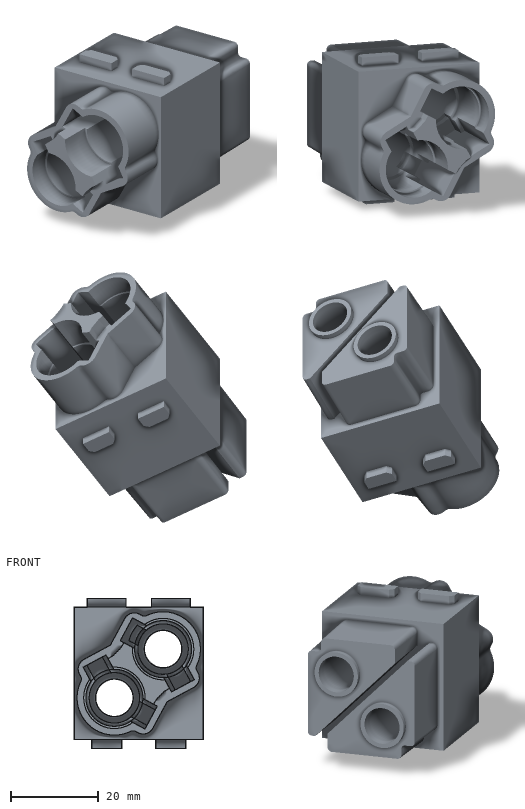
import cadquery as cq
import math


block_width = 29.4
block_height = 30.2
block_length = 23.7

tab_spacing = 14.6
tab_height = 2.0
tab_length = 3.5
tab_chamfer = 1.0
tab_setback = 5.6
top_tab_width = 8.9
bottom_tab_width = 6.9

shroud_length = 12.0
shroud_wall = 1.5
bump_round = 2.5
bump_blend = 1.25

bore_offset = 5.55
mouth_radius = 7.0
mouth_depth = 5.0
seat_radius = 13.0 / 2
inner_radius = 11.5 / 2
through_radius = 8.5 / 2

slot_tilt = 28.3
slot_width = 5.9
slot_reach = 9.5
keyway_width = 4.0
short_keyway_reach = 8.0

slot_depth = 16.0
seat_depth = 18.0
keyway_depth = 20.0
keyway_step_depth = 22.0

insert_projection = 3.0
waist_tip = (-3.4, 6.97)
waist_corner = (-4.05, 5.87)

rear_length = 14.5
rear_draft = 1.0
rear_side = 13.2
rear_top = 13.7
rear_shoulder = 10.35
rear_step = 9.95
rear_inner_side = 8.4
rear_round = 2.5 / 2
rear_step_round = 0.7
gap_width = 1.5

sleeve_radius = 10.5 / 2
sleeve_projection = 1.4

shroud_front = -shroud_length
rear_end = block_length + rear_length
sleeve_end = rear_end + sleeve_projection
mouth_floor = shroud_front + mouth_depth


def plane_at(y):
    """Work plane whose local axes are X and Z; positive extrusion runs towards -Y."""
    return cq.Workplane("XZ", origin=(0, y, 0))


def half_turn(body):
    return body.rotate((0, 0, 0), (0, 1, 0), 180)


def with_half_turn(points):
    return points + [(-x, -z) for x, z in points]


def cylinder(radius, y_start, y_end):
    """Cylinder on the axis of the upper bore."""
    return plane_at(y_start).center(bore_offset, bore_offset).circle(radius).extrude(y_start - y_end)


def both_cylinders(radius, y_start, y_end):
    one = cylinder(radius, y_start, y_end)
    return one.union(half_turn(one))


def swapped(point):
    """Mirror image across the x = -z diagonal."""
    return (-point[1], -point[0])


def slot_point(outward, sideways):
    """Point in the upper left slot: distances from the upper bore along and across the slot."""
    tilt = math.radians(slot_tilt)
    x = bore_offset - outward * math.cos(tilt) + sideways * math.sin(tilt)
    z = bore_offset + outward * math.sin(tilt) + sideways * math.cos(tilt)
    return (x, z)


def slot_prism(width, reach, y_start, y_end):
    half = width / 2
    corners = [
        slot_point(0, -half),
        slot_point(reach, -half),
        slot_point(reach, half),
        slot_point(0, half),
    ]
    return plane_at(y_start).polyline(corners).close().extrude(y_start - y_end)


def at_lower_left(body):
    """Copy of an upper left slot feature, mirrored to the left slot of the lower bore."""
    return body.rotate((0, 0, 0), (0, 1, 0), 90).mirror("YZ")


def all_slots(width, reach, y_start, y_end):
    upper = slot_prism(width, reach, y_start, y_end)
    pair = upper.union(at_lower_left(upper))
    return pair.union(half_turn(pair))


def rounded_outline(plane, corners):
    """Closed outline through (point, radius) corners; a zero radius leaves the corner sharp."""
    wire = None
    for index, (point, radius) in enumerate(corners):
        corner = cq.Vector(*point)
        to_last = (cq.Vector(*corners[index - 1][0]) - corner).normalized()
        to_next = (cq.Vector(*corners[(index + 1) % len(corners)][0]) - corner).normalized()
        half_angle = to_last.getAngle(to_next) / 2
        tangent = radius / math.tan(half_angle)
        start = corner + to_last * tangent
        end = corner + to_next * tangent
        wire = plane.moveTo(start.x, start.y) if wire is None else wire.lineTo(start.x, start.y)
        if radius:
            bisector = (to_last + to_next).normalized()
            middle = corner + bisector * (radius / math.sin(half_angle) - radius)
            wire = wire.threePointArc((middle.x, middle.y), (end.x, end.y))
    return wire.close()


def block():
    return plane_at(0).rect(block_width, block_height).extrude(-block_length)


def tab(width, x, z_start):
    """Tab with chamfered corners towards the rear."""
    outline = cq.Workplane("XY", origin=(x, tab_setback + tab_length / 2, z_start))
    return outline.rect(width, tab_length).extrude(tab_height).edges("|Z and >Y").chamfer(tab_chamfer)


def add_tabs(body):
    for x in (-tab_spacing / 2, tab_spacing / 2):
        body = body.union(tab(top_tab_width, x, block_height / 2))
        body = body.union(tab(bottom_tab_width, x, -block_height / 2 - tab_height))
    return body


def shroud():
    """Two round lobes, with a rounded bump over each slot, joined by a narrow waist."""
    side = slot_width / 2 + shroud_wall
    reach = slot_reach + shroud_wall
    lobe_radius = mouth_radius + shroud_wall
    tilt = math.radians(slot_tilt)
    tip = slot_point(reach, side)
    inside = slot_point(0, side)
    waist = (reach - bore_offset * (math.cos(tilt) - math.sin(tilt))) / (math.cos(tilt) + math.sin(tilt))
    quarter = [swapped(inside), swapped(tip), (-waist, waist), tip, inside]
    radii = [0, bump_round, 0, bump_round, 0]
    corners = list(zip(with_half_turn(quarter), radii + radii))
    body = rounded_outline(plane_at(0), corners).extrude(shroud_length)
    body = body.union(both_cylinders(lobe_radius, shroud_front, 0))
    corner = slot_point(math.sqrt(lobe_radius**2 - side**2), side)
    for x, z in with_half_turn([corner, swapped(corner)]):
        nearest = cq.selectors.NearestToPointSelector((x, -shroud_length / 2, z))
        body = body.edges("|Y").edges(nearest).fillet(bump_blend)
    return body


def rear_half():
    """Upper right half; only the faces along the gap have no draft."""
    corners = [
        ((-rear_inner_side, rear_inner_side), 0),
        ((-rear_inner_side, rear_top), rear_round),
        ((rear_step, rear_top), rear_round),
        ((rear_step, rear_shoulder), rear_step_round),
        ((rear_side, rear_shoulder), rear_round),
        ((rear_side, -rear_shoulder), rear_round),
        ((rear_shoulder, -rear_shoulder), 0),
    ]
    half = rounded_outline(plane_at(block_length), corners).extrude(-rear_length, taper=rear_draft)
    gap_span = 2 * (block_width + block_height)
    gap = cq.Workplane("XY").box(gap_span, rear_length, gap_width)
    gap = gap.rotate((0, 0, 0), (0, 1, 0), 45).translate((0, block_length + rear_length / 2, 0))
    return half.cut(gap)


def waist_prism(y_start, y_end):
    """Space between the two bores and the four slots."""
    waist = [swapped(waist_tip), swapped(waist_corner), waist_corner, waist_tip]
    corners = with_half_turn(waist + [(bore_offset, bore_offset)])
    return plane_at(y_start).polyline(corners).close().extrude(y_start - y_end)


def long_keyways(floor):
    """All keyways but the upper left one, which is shorter."""
    upper_left = slot_prism(keyway_width, slot_reach, shroud_front, floor)
    return all_slots(keyway_width, slot_reach, shroud_front, floor).cut(upper_left)


def keyway_steps():
    """Deeper steps between the long keyways and the inner bores."""
    step_floor = shroud_front + keyway_step_depth
    ring = both_cylinders(seat_radius, shroud_front, step_floor)
    return long_keyways(step_floor).intersect(ring)


def short_keyway():
    """Upper left keyway: round outer end, and a conical ramp down to the inner bore."""
    keyway_floor = shroud_front + keyway_depth
    step_floor = shroud_front + keyway_step_depth
    key = slot_prism(keyway_width, slot_reach, shroud_front, step_floor)
    recess = cylinder(short_keyway_reach, shroud_front, keyway_floor)
    ramp = cylinder(seat_radius, keyway_floor, step_floor)
    ramp = ramp.faces(">Y").chamfer(seat_radius - inner_radius)
    return key.intersect(recess.union(ramp))


def cavity():
    """The overlapping spaces that together hollow out the housing."""
    return [
        waist_prism(shroud_front, mouth_floor),
        both_cylinders(mouth_radius, shroud_front, mouth_floor),
        both_cylinders(seat_radius, shroud_front, shroud_front + seat_depth),
        both_cylinders(inner_radius, shroud_front, block_length),
        both_cylinders(through_radius, shroud_front, sleeve_end),
        all_slots(slot_width, slot_reach, shroud_front, shroud_front + slot_depth),
        long_keyways(shroud_front + keyway_depth),
        keyway_steps(),
        short_keyway(),
    ]


def make_housing():
    half = rear_half()
    body = block().union(shroud()).union(half).union(half_turn(half))
    body = body.union(both_cylinders(sleeve_radius, block_length, sleeve_end))
    body = add_tabs(body)
    for space in cavity():
        body = body.cut(space)
    return body


def make_insert():
    front = shroud_front - insert_projection
    body = waist_prism(front, mouth_floor)
    body = body.cut(both_cylinders(mouth_radius, front, mouth_floor))
    return body.cut(all_slots(slot_width, slot_reach, front, mouth_floor))


housing = make_housing()
insert = make_insert()

result = cq.Compound.makeCompound([housing.val(), insert.val()])